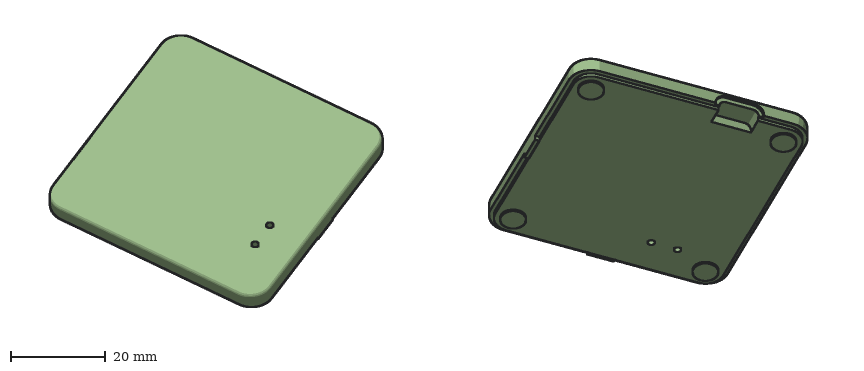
import cadquery as cq

side = 54.0
corner_radius = 5.0
top_fillet = 0.95

skirt_depth = 3.8
plate_depth = 4.65
foot_depth = 5.1

plate_inset = 1.0
plate_side = side - 2 * plate_inset
plate_corner_radius = corner_radius - plate_inset

foot_diameter = 5.5
foot_edge_distance = 5.1
foot_spacing = side - 2 * foot_edge_distance

hole_diameter = 1.5
hole_x = 18.05
hole_ys = (-8.0, -14.0)

opening_y = -10.0
recess_width = 11.0
recess_top = 1.15
recess_radius = 2.5
recess_length = 0.5
pocket_width = 8.95
pocket_top = 2.4
pocket_radius = 1.5
pocket_length = 5.0

tab_width = 6.05
back_tab_depth = 4.85
side_tab_depth = 4.2


def rounded_slab(width, radius, top, bottom):
    """Square slab with rounded corners between two depths below the top face."""
    slab = cq.Workplane("XY").workplane(offset=-bottom).rect(width, width).extrude(bottom - top)
    return slab.edges("|Z").fillet(radius)


def opening_cutter(width, top, bottom, radius, length):
    """Block reaching inward from the -X wall, with its two upper edges rounded."""
    block = cq.Workplane("XY").box(length, width, bottom - top, centered=(False, True, False))
    block = block.edges("|X and >Z").fillet(radius)
    return block.translate((-side / 2, opening_y, -bottom))


def tab(depth):
    """Tab on the +X wall, reaching down beside the bottom plate."""
    height = depth - top_fillet
    block = cq.Workplane("XY").box(plate_inset, tab_width, height, centered=(False, True, False))
    return block.translate((plate_side / 2, 0, -depth))


body = rounded_slab(side, corner_radius, 0, skirt_depth).faces(">Z").edges().fillet(top_fillet)
plate = rounded_slab(plate_side, plate_corner_radius, top_fillet, plate_depth)
body = body.union(plate)

feet = (
    cq.Workplane("XY")
    .workplane(offset=-foot_depth)
    .rect(foot_spacing, foot_spacing, forConstruction=True)
    .vertices()
    .circle(foot_diameter / 2)
    .extrude(foot_depth - skirt_depth)
)
body = body.union(feet)

back_tab = tab(back_tab_depth).rotate((0, 0, 0), (0, 0, 1), 90)
body = body.union(tab(side_tab_depth)).union(back_tab)

recess = opening_cutter(recess_width, recess_top, skirt_depth, recess_radius, recess_length)
pocket = opening_cutter(pocket_width, pocket_top, plate_depth, pocket_radius, pocket_length)
body = body.cut(recess).cut(pocket)

holes = (
    cq.Workplane("XY")
    .pushPoints([(hole_x, y) for y in hole_ys])
    .circle(hole_diameter / 2)
    .extrude(-foot_depth)
)
result = body.cut(holes)